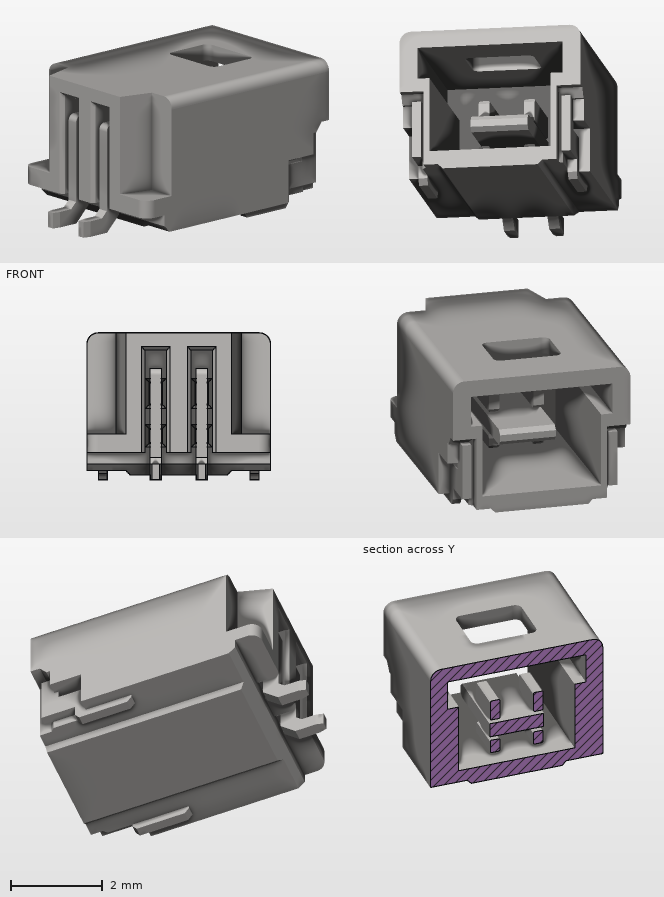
import cadquery as cq


width = 4.0
height = 3.2
depth = 5.35
half_width = width / 2
edge_radius = 0.25
pad_z = 0.1
side_z = 0.2
pad_half_width = 1.05
lower_front_y = 0.54
front_bevel = 0.25
flange_bottom = 0.6
flange_top = 1.0
notch_depth = 0.75
notch_x_front = 1.15
notch_x_rear = 1.36

roof_thickness = 0.37
cavity_front = 1.6
cavity_floor = 0.5
cavity_half_width = 1.34
rail_z = 2.14
cavity_upper_half_width = 1.6
window_half_width = 0.76
window_front = 3.09
window_rear = 4.28
window_radius = 0.15

tongue_half_width = 0.63
tongue_bottom = 1.2
tongue_top = 1.55
tongue_end = 4.22
tongue_bevel = 0.1

pitch = 1.0
contact_xs = [-pitch / 2, pitch / 2]
contact_width = 0.24
post_front = 0.09
post_rear = 0.45
post_top = 2.42
post_round = 0.14
foot_thickness = 0.35
foot_end = -0.55
foot_taper_length = 0.17
foot_tip_width = 0.16
foot_bend = 0.14
prong_end = 3.27
prong_tip_bevel = 0.08
prong_edge_bevel = 0.03

slot_half_width = 0.315
slot_top = 2.9
mouth_bevel = 0.08

pocket_heights = [(0.71, 1.2), (1.55, 2.21)]
pocket_half_width = 0.23

clip_outer = 1.75
clip_inner = 1.55
clip_rear = 5.2
clip_bottom = 0.42
clip_top = 1.66
clip_step_y = 4.79
clip_step_z = 0.97
clip_foot_rear = 4.41
clip_foot_front = 3.08
clip_foot_bevel_length = 0.1
clip_foot_bevel_height = 0.14
recess_front = 4.16
recess_step_y = 4.89
recess_step_z = 1.16
recess_top = 1.85
recess_slope_rear = 5.13
recess_slope_front = 4.98
recess_slope_z = 1.64
relief_front = 4.99
relief_rear = 5.07
relief_depth = 0.08


def box(x0, x1, y0, y1, z0, z1):
    """Box between opposite corner coordinates."""
    return cq.Workplane("XY").box(x1 - x0, y1 - y0, z1 - z0, centered=False).translate((x0, y0, z0))


def side_plate(points, x0, x1):
    """Plate with a (Y, Z) outline between two X positions."""
    return cq.Workplane("YZ").polyline(points).close().extrude(x1 - x0).translate((x0, 0, 0))


def plan_plate(points, z0, z1):
    """Plate with an (X, Y) outline between two heights."""
    return cq.Workplane("XY").polyline(points).close().extrude(z1 - z0).translate((0, 0, z0))


def bevelled_mouth(x_center, half_x, z0, z1, bottom_bevel, y):
    """Rectangular opening that narrows by the mouth bevel from y towards +Y."""
    inner_half = half_x - mouth_bevel
    inner_z0 = z0 + bottom_bevel
    inner_z1 = z1 - mouth_bevel
    z_shift = (inner_z0 + inner_z1 - z0 - z1) / 2
    return (
        cq.Workplane("XZ", origin=(x_center, y, (z0 + z1) / 2))
        .rect(2 * half_x, z1 - z0)
        .workplane(offset=-mouth_bevel)
        .center(0, z_shift)
        .rect(2 * inner_half, inner_z1 - inner_z0)
        .loft(combine=True)
    )


def both_sides(shape):
    """Shape together with its mirror image about X = 0."""
    return shape.union(shape.mirror("YZ"))


def make_shell():
    side_profile = [
        (0, height),
        (0, flange_bottom),
        (lower_front_y, flange_bottom),
        (lower_front_y, pad_z + front_bevel),
        (lower_front_y + front_bevel, pad_z),
        (depth, pad_z),
        (depth, height),
    ]
    shell = side_plate(side_profile, -half_width, half_width)
    shell = shell.edges("|Y and >Z").fillet(edge_radius)

    pad_slope = side_z - pad_z
    side_relief = (
        cq.Workplane("XZ")
        .polyline([
            (pad_half_width, pad_z),
            (pad_half_width + pad_slope, side_z),
            (half_width, side_z),
            (half_width, pad_z),
        ])
        .close()
        .extrude(-depth)
    )
    notch = plan_plate(
        [
            (notch_x_front, 0),
            (notch_x_rear, notch_depth),
            (half_width, notch_depth),
            (half_width, 0),
        ],
        flange_top,
        height,
    )
    shell = shell.cut(both_sides(side_relief)).cut(both_sides(notch))
    return shell.edges("(|Z and <Y) and (<X or >X)").fillet(edge_radius)


def cut_cavity(body):
    roof_z = height - roof_thickness
    lower = box(-cavity_half_width, cavity_half_width, cavity_front, depth, cavity_floor, roof_z)
    upper = box(-cavity_upper_half_width, cavity_upper_half_width, cavity_front, depth, rail_z, roof_z)
    window = box(-window_half_width, window_half_width, window_front, window_rear, roof_z, height)
    window = window.edges("|Z").fillet(window_radius)
    return body.cut(lower).cut(upper).cut(window)


def make_tongue():
    tongue = box(
        -tongue_half_width, tongue_half_width, cavity_front, tongue_end, tongue_bottom, tongue_top
    )
    return tongue.faces(">Y").edges("|X").chamfer(tongue_bevel)


def cut_slot(body, x):
    mouth = bevelled_mouth(x, slot_half_width, flange_bottom, slot_top, 0, 0)
    inner_half = slot_half_width - mouth_bevel
    channel = box(
        x - inner_half, x + inner_half, 0, lower_front_y, flange_bottom, slot_top - mouth_bevel
    )
    body = body.cut(mouth).cut(channel)
    for z0, z1 in pocket_heights:
        body = body.cut(bevelled_mouth(x, pocket_half_width, z0, z1, mouth_bevel, lower_front_y))
    return body


def make_contact(x):
    x0 = x - contact_width / 2
    x1 = x + contact_width / 2
    post_profile = [
        (post_rear, post_top),
        (post_front, post_top),
        (post_front, foot_thickness + foot_bend),
        (post_front - foot_bend, foot_thickness),
        (foot_end, foot_thickness),
        (foot_end, 0),
        (post_rear - foot_thickness, 0),
        (post_rear, foot_thickness),
    ]
    contact = side_plate(post_profile, x0, x1)
    front_top_edge = cq.selectors.NearestToPointSelector((x, post_front, post_top))
    contact = contact.edges(front_top_edge).fillet(post_round)

    taper_start = foot_end + foot_taper_length
    for side in (-1, 1):
        tip_corner = plan_plate(
            [
                (x + side * foot_tip_width / 2, foot_end),
                (x + side * contact_width / 2, foot_end),
                (x + side * contact_width / 2, taper_start),
            ],
            0,
            foot_thickness,
        )
        contact = contact.cut(tip_corner)

    for z0, z1 in pocket_heights:
        prong_bottom = z0 + mouth_bevel
        prong_top = z1 - mouth_bevel
        prong = box(x0, x1, post_front, prong_end, prong_bottom, prong_top)
        prong = prong.edges("|Y").chamfer(prong_edge_bevel)
        tip_profile = [
            (post_front, prong_bottom),
            (prong_end - prong_tip_bevel, prong_bottom),
            (prong_end, prong_bottom + prong_tip_bevel),
            (prong_end, prong_top - prong_tip_bevel),
            (prong_end - prong_tip_bevel, prong_top),
            (post_front, prong_top),
        ]
        contact = contact.union(prong.intersect(side_plate(tip_profile, x0, x1)))
    return contact


def make_side_recess():
    outline = [
        (depth, recess_top),
        (recess_slope_rear, recess_top),
        (recess_slope_front, recess_slope_z),
        (recess_step_y, recess_slope_z),
        (recess_step_y, recess_step_z),
        (recess_front, recess_step_z),
        (recess_front, side_z),
        (depth, side_z),
    ]
    recess = side_plate(outline, clip_inner, half_width)
    relief = plan_plate(
        [
            (clip_inner, relief_front),
            (clip_inner - relief_depth, relief_rear),
            (clip_inner - relief_depth, depth),
            (clip_inner, depth),
        ],
        side_z,
        recess_top,
    )
    relief = relief.intersect(side_plate(outline, clip_inner - relief_depth, clip_inner))
    return recess.union(relief)


def make_clip():
    outline = [
        (clip_rear, clip_bottom),
        (clip_rear, clip_top),
        (recess_step_y, clip_top),
        (recess_step_y, recess_step_z),
        (clip_step_y, recess_step_z),
        (clip_step_y, clip_step_z),
        (recess_front, clip_step_z),
        (recess_front, side_z),
        (clip_foot_front, side_z),
        (clip_foot_front, clip_foot_bevel_height),
        (clip_foot_front + clip_foot_bevel_length, 0),
        (clip_foot_rear - clip_foot_bevel_length, 0),
        (clip_foot_rear, clip_foot_bevel_height),
        (clip_foot_rear, clip_bottom),
    ]
    return side_plate(outline, clip_inner, clip_outer)


body = cut_cavity(make_shell())
body = body.cut(both_sides(make_side_recess()))
body = body.union(make_tongue())
for contact_x in contact_xs:
    body = cut_slot(body, contact_x)
for contact_x in contact_xs:
    body = body.union(make_contact(contact_x))

result = body.union(both_sides(make_clip()))